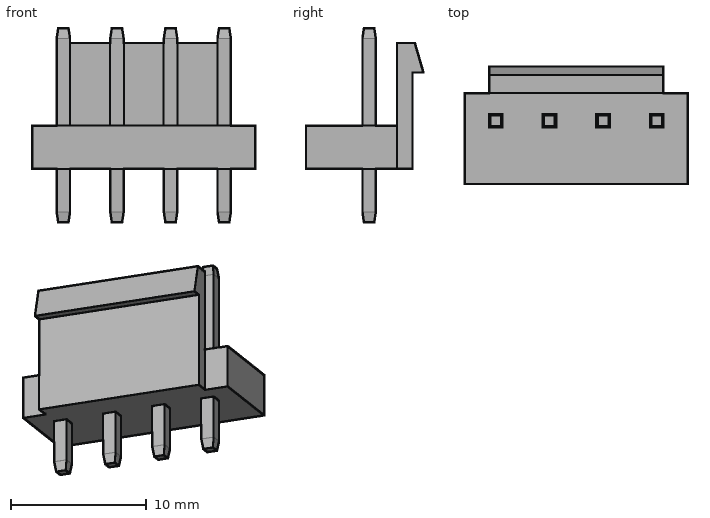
import cadquery as cq

base_length = 16.48
base_depth = 6.7
base_height = 3.18

pin_count = 4
pin_pitch = 3.95
pin_width = 1.0
pin_tip_width = 0.77
pin_tip_length = 0.75
pin_top = 10.38
pin_bottom = -3.95
pin_to_back = 2.05

latch_height = 9.3
latch_thickness = 1.17
latch_top_thickness = 1.33
hook_reach = 1.98
hook_bottom = 7.09

pin_row_length = (pin_count - 1) * pin_pitch
latch_length = pin_row_length + pin_width


def make_base():
    """Rectangular block centred along X."""
    return cq.Workplane("XY").box(base_length, base_depth, base_height, centered=(True, False, False))


def make_latch():
    """Wall with an outward hook along its top edge, swept along X."""
    profile = [
        (0, 0),
        (latch_thickness, 0),
        (latch_thickness, hook_bottom),
        (hook_reach, hook_bottom),
        (latch_top_thickness, latch_height),
        (0, latch_height),
    ]
    return (
        cq.Workplane("YZ", origin=(0, base_depth, 0))
        .polyline(profile)
        .close()
        .extrude(latch_length / 2, both=True)
    )


def make_pin_tip(shoulder_z, tip_z):
    """Square taper from the pin shaft to its blunt end."""
    return (
        cq.Workplane("XY", origin=(0, 0, shoulder_z))
        .rect(pin_width, pin_width)
        .workplane(offset=tip_z - shoulder_z)
        .rect(pin_tip_width, pin_tip_width)
        .loft(ruled=True)
    )


def make_pin():
    upper_shoulder = pin_top - pin_tip_length
    lower_shoulder = pin_bottom + pin_tip_length
    shaft = (
        cq.Workplane("XY", origin=(0, 0, lower_shoulder))
        .rect(pin_width, pin_width)
        .extrude(upper_shoulder - lower_shoulder)
    )
    upper_tip = make_pin_tip(upper_shoulder, pin_top)
    lower_tip = make_pin_tip(lower_shoulder, pin_bottom)
    return shaft.union(upper_tip).union(lower_tip)


result = make_base().union(make_latch())
pin = make_pin()
pin_y = base_depth - pin_to_back
for index in range(pin_count):
    pin_x = index * pin_pitch - pin_row_length / 2
    result = result.union(pin.translate((pin_x, pin_y, 0)))